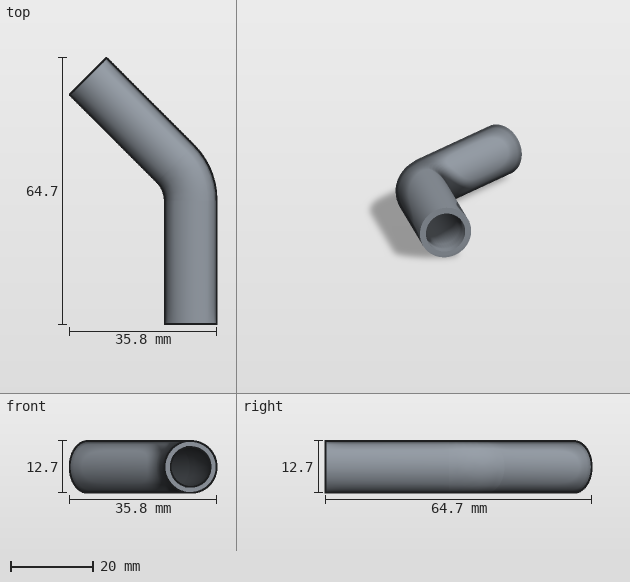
import cadquery as cq
import math

overall_length = 64.7
outer_diameter = 12.7
bore_diameter = 9.7
bend_angle = 45.0
bend_radius = outer_diameter

outer_radius = outer_diameter / 2
sin_bend = math.sin(math.radians(bend_angle))
cos_bend = math.cos(math.radians(bend_angle))

leg_length = (overall_length - (bend_radius + outer_radius) * sin_bend) / (1 + cos_bend)


def centreline_point(angle):
    """Point on the bend's centreline, at an angle in degrees from the bend's start."""
    turn = math.radians(angle)
    x = -bend_radius * (1 - math.cos(turn))
    y = leg_length + bend_radius * math.sin(turn)
    return (x, y)


bend_start = centreline_point(0)
bend_middle = centreline_point(bend_angle / 2)
bend_end = centreline_point(bend_angle)
tube_end = (bend_end[0] - leg_length * sin_bend, bend_end[1] + leg_length * cos_bend)

centreline = (
    cq.Workplane("XY")
    .lineTo(*bend_start)
    .threePointArc(bend_middle, bend_end)
    .lineTo(*tube_end)
)

result = (
    cq.Workplane("XZ")
    .circle(outer_radius)
    .circle(bore_diameter / 2)
    .sweep(centreline)
)